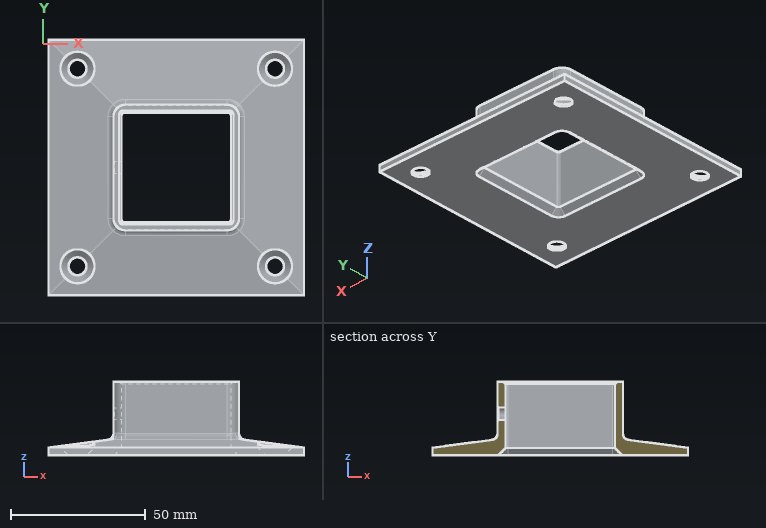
import cadquery as cq
import math

plate_side = 95.0
plate_edge_height = 2.9
slope_angle = 7.5

total_height = 27.5
collar_side = 46.6
collar_corner_radius = 4.5
collar_foot_radius = 2.3

opening_side = 40.6
opening_corner_radius = 0.9
rim_chamfer = 0.95
base_chamfer = 2.8

screw_spacing = 73.3
screw_hole_diameter = 6.6
screw_head_diameter = 12.6
screw_cone_height = 2.85

set_screw_diameter = 4.4
set_screw_height = 15.5
set_screw_chamfer = 0.4

chamfer_angle = 45.0


def rounded_square(side, corner_radius):
    return cq.Sketch().rect(side, side).vertices().fillet(corner_radius)


def rounded_square_prism(side, corner_radius, height):
    return cq.Workplane("XY").placeSketch(rounded_square(side, corner_radius)).extrude(height)


def sloped_plate():
    """Square plate whose top rises as a shallow pyramid from its outer edges."""
    edge_slab = cq.Workplane("XY").rect(plate_side, plate_side).extrude(plate_edge_height)
    slope_run = (plate_side - opening_side) / 2
    slope_rise = slope_run * math.tan(math.radians(slope_angle))
    pyramid = (
        cq.Workplane("XY", origin=(0, 0, plate_edge_height))
        .rect(plate_side, plate_side)
        .workplane(offset=slope_rise)
        .rect(opening_side, opening_side)
        .loft(ruled=True)
    )
    return edge_slab.union(pyramid)


def flange_with_collar():
    """Plate and collar joined by a fillet around the foot of the collar."""
    collar = rounded_square_prism(collar_side, collar_corner_radius, total_height)
    body = sloped_plate().union(collar)
    zone_half_side = collar_side / 2 + collar_foot_radius
    zone_top = total_height / 2
    foot_zone = cq.selectors.BoxSelector(
        (-zone_half_side, -zone_half_side, plate_edge_height),
        (zone_half_side, zone_half_side, zone_top),
    )
    return body.edges(foot_zone).fillet(collar_foot_radius)


def opening_flare(size):
    """Chamfer cutter for the opening, widest at Z = 0 and narrowing downward."""
    wide_outline = rounded_square(opening_side + 2 * size, opening_corner_radius + size)
    return cq.Workplane("XY").placeSketch(wide_outline).extrude(-size, taper=chamfer_angle)


def opening_cutter():
    """Square through opening, chamfered at the collar rim and at the underside."""
    opening = rounded_square_prism(opening_side, opening_corner_radius, total_height)
    rim_flare = opening_flare(rim_chamfer).translate((0, 0, total_height))
    base_flare = opening_flare(base_chamfer).mirror("XY")
    return opening.union(rim_flare).union(base_flare)


def screw_hole_cutter():
    """Conical seat reaching the underside, with straight head clearance above it."""
    hole_radius = screw_hole_diameter / 2
    head_radius = screw_head_diameter / 2
    profile = (
        cq.Workplane("XZ")
        .moveTo(0, 0)
        .lineTo(hole_radius, 0)
        .lineTo(head_radius, screw_cone_height)
        .lineTo(head_radius, total_height)
        .lineTo(0, total_height)
        .close()
    )
    return profile.revolve(360, (0, 0, 0), (0, 1, 0))


def set_screw_cutter():
    """Hole through the -X wall, ending inside the opening, with a small chamfer at its mouth."""
    wall_face = cq.Workplane("YZ", origin=(-collar_side / 2, 0, set_screw_height))
    hole_radius = set_screw_diameter / 2
    hole = wall_face.circle(hole_radius).extrude(collar_side / 2)
    mouth = wall_face.circle(hole_radius + set_screw_chamfer).extrude(set_screw_chamfer, taper=chamfer_angle)
    return hole.union(mouth)


result = flange_with_collar().cut(opening_cutter()).cut(set_screw_cutter())

screw_offset = screw_spacing / 2
for screw_x in (-screw_offset, screw_offset):
    for screw_y in (-screw_offset, screw_offset):
        result = result.cut(screw_hole_cutter().translate((screw_x, screw_y, 0)))